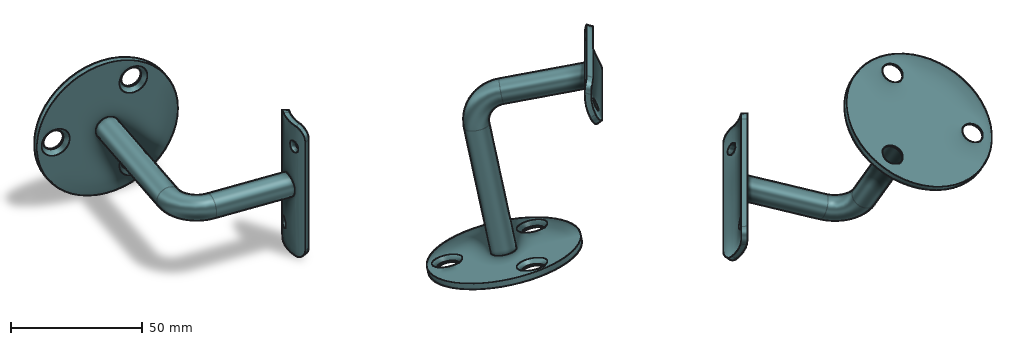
import cadquery as cq
import math

plate_diameter = 60.0
plate_thickness = 2.55
plate_hole_diameter = 8.4
plate_hole_circle_radius = 22.0
plate_hole_count = 3

plate_hole_land = 0.8
countersink_angle = 90

arm_diameter = 10.0
bend_radius = 12.0

saddle_inner_radius = 19.1
saddle_thickness = 2.5
saddle_width = 20.0
saddle_height = plate_diameter
saddle_corner_radius = 5.0
saddle_hole_diameter = 5.0
saddle_hole_offset_x = 4.3
saddle_hole_offset_z = 20.0

overall_length_x = 77.0
overall_length_y = 79.4

countersink_depth = plate_thickness - plate_hole_land
countersink_flare = countersink_depth * math.tan(math.radians(countersink_angle / 2))
countersink_diameter = plate_hole_diameter + 2 * countersink_flare
saddle_outer_radius = saddle_inner_radius + saddle_thickness
saddle_half_angle = math.asin(saddle_width / 2 / saddle_outer_radius)
saddle_x = overall_length_x - saddle_width / 2
saddle_tip_y = overall_length_y - plate_diameter / 2
rail_axis_y = saddle_tip_y + saddle_inner_radius * math.cos(saddle_half_angle)
arm_end_y = rail_axis_y - (saddle_inner_radius + saddle_outer_radius) / 2


def make_plate():
    """Disc with equally spaced screw holes, countersunk on the +X face, the first one toward -Y."""
    return (
        cq.Workplane("YZ")
        .circle(plate_diameter / 2)
        .extrude(plate_thickness)
        .faces(">X")
        .workplane(origin=(0, 0, 0))
        .polarArray(plate_hole_circle_radius, 180, 360, plate_hole_count)
        .cskHole(plate_hole_diameter, countersink_diameter, countersink_angle)
    )


def make_arm():
    """Rod along +X that bends to +Y and ends inside the saddle wall."""
    bend_start_x = saddle_x - bend_radius
    diagonal = bend_radius * math.sqrt(0.5)
    bend_middle = (bend_start_x + diagonal, bend_radius - diagonal)
    path = (
        cq.Workplane("XY")
        .lineTo(bend_start_x, 0)
        .threePointArc(bend_middle, (saddle_x, bend_radius))
        .lineTo(saddle_x, arm_end_y)
    )
    return cq.Workplane("YZ").circle(arm_diameter / 2).sweep(path)


def rail_point(radius, angle):
    """Point at an angle from the -Y direction around the handrail axis."""
    return (saddle_x + radius * math.sin(angle), rail_axis_y - radius * math.cos(angle))


def make_saddle():
    """Ring sector with radial ends, rounded corners and two diagonal screw holes."""
    sector = (
        cq.Workplane("XY")
        .moveTo(*rail_point(saddle_outer_radius, -saddle_half_angle))
        .threePointArc(
            rail_point(saddle_outer_radius, 0),
            rail_point(saddle_outer_radius, saddle_half_angle),
        )
        .lineTo(*rail_point(saddle_inner_radius, saddle_half_angle))
        .threePointArc(
            rail_point(saddle_inner_radius, 0),
            rail_point(saddle_inner_radius, -saddle_half_angle),
        )
        .close()
        .extrude(saddle_height)
        .translate((0, 0, -saddle_height / 2))
    )
    rounded = sector.edges("%LINE").edges("not |Z").fillet(saddle_corner_radius)
    holes = (
        cq.Workplane("XZ", origin=(saddle_x, 0, 0))
        .pushPoints([
            (saddle_hole_offset_x, saddle_hole_offset_z),
            (-saddle_hole_offset_x, -saddle_hole_offset_z),
        ])
        .circle(saddle_hole_diameter / 2)
        .extrude(-overall_length_y)
    )
    return rounded.cut(holes)


result = make_plate().union(make_arm()).union(make_saddle())